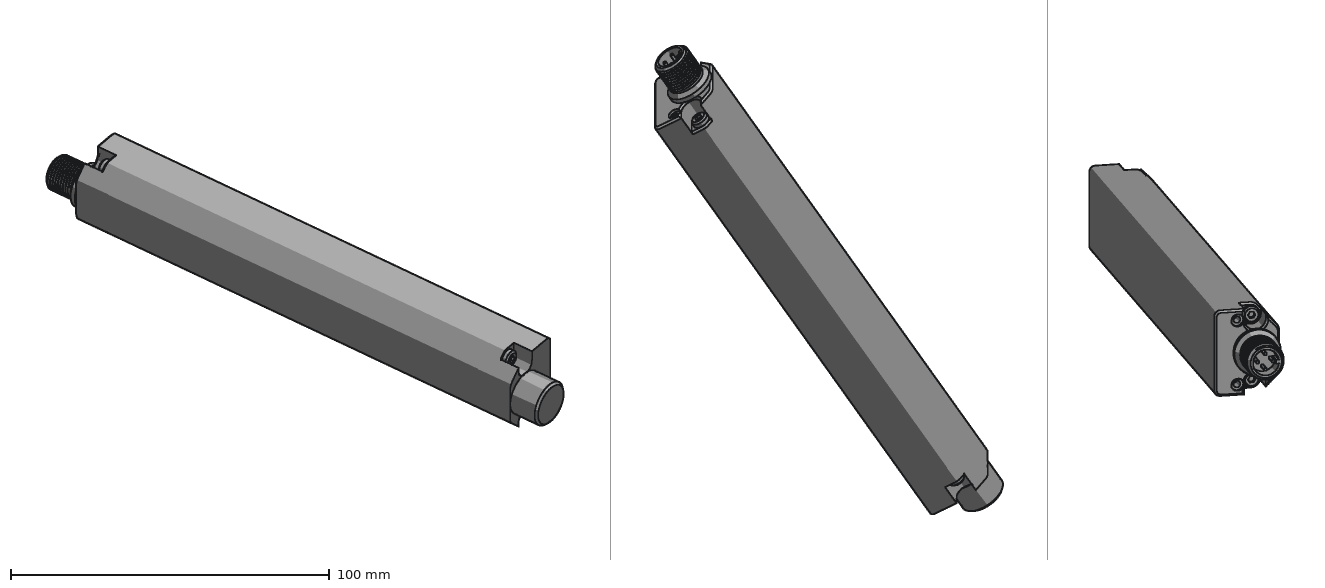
import cadquery as cq
import math


TOTAL_LENGTH = 194.0
BODY_START = 13.0
CAP_LENGTH = 13.0
BODY_LENGTH = 170.7
BODY_END = BODY_START + BODY_LENGTH

BODY_DEPTH = 21.0
BODY_HEIGHT = 28.0
CONNECTOR_RADIUS = 7.5
FRONT_Y = -CONNECTOR_RADIUS
BACK_Y = FRONT_Y + BODY_DEPTH
HALF_HEIGHT = BODY_HEIGHT / 2
CORNER_CUT = 6.5
FRONT_FILLET = 3.2
BACK_FILLET = 2.0
END_CHAMFER = 0.7
CHAMFER_ANGLE = 45.0

THREAD_RADIUS = 6.0
THREAD_PITCH = 1.0
THREAD_DEPTH = 0.6
GROOVE_OVERREACH = 0.2
GROOVE_WIDTH = 0.98 * THREAD_PITCH
THREAD_END = 9.7
TIP_CHAMFER = 1.0
COLLAR_CONE_LENGTH = 1.2
COLLAR_CONE_END = 11.4
SOCKET_RADIUS = 4.2
SOCKET_DEPTH = 5.0
PIN_RADIUS = 0.5
PIN_CIRCLE_RADIUS = 2.5
PIN_LENGTH = 4.0
PIN_COUNT = 4
KEY_WIDTH = 1.2
KEY_HEIGHT = 1.0

NUT_CHAMFER = 0.8

SCREW_Y = FRONT_Y + 7.85
SCREW_Z = 10.5
POCKET_RADIUS = 3.5
POCKET_LENGTH = 7.1
POCKET_RIM = 7.0
HEAD_RADIUS = 2.75
HEAD_LENGTH = 2.0
HEAD_CHAMFER = 0.6
HEX_ACROSS_FLATS = 2.0
HEX_DEPTH = 1.2

HOLE_Y = FRONT_Y + 13.6
HOLE_RADIUS = 2.0
HOLE_DEPTH = 1.0
HOLE_DRILL_RADIUS = 1.1
HOLE_DRILL_DEPTH = 6.0


def x_cylinder(radius, start, length, y=0.0, z=0.0):
    """Cylinder along +X from X = start."""
    return cq.Workplane("YZ", origin=(start, y, z)).circle(radius).extrude(length)


def body_segment(start, length):
    """Length of the housing section, with its corners rounded."""
    outline = [
        (FRONT_Y, -HALF_HEIGHT + CORNER_CUT),
        (FRONT_Y + CORNER_CUT, -HALF_HEIGHT),
        (BACK_Y, -HALF_HEIGHT),
        (BACK_Y, HALF_HEIGHT),
        (FRONT_Y + CORNER_CUT, HALF_HEIGHT),
        (FRONT_Y, HALF_HEIGHT - CORNER_CUT),
    ]
    segment = cq.Workplane("YZ", origin=(start, 0, 0)).polyline(outline).close().extrude(length)
    segment = segment.edges("|X").edges("not >Y").fillet(FRONT_FILLET)
    return segment.edges("|X").edges(">Y").fillet(BACK_FILLET)


def pocket_plane(x, inward, side):
    """Plane across a screw axis, facing into the body, with its local y axis pointing outward."""
    return cq.Plane(
        origin=(x, SCREW_Y, side * SCREW_Z),
        xDir=(0, inward * side, 0),
        normal=(inward, 0, 0),
    )


def pocket_outline(plane, radius):
    """U-shaped outline: a half circle around the screw, with straight sides running outward."""
    rim = POCKET_RIM
    return (
        cq.Workplane(plane)
        .moveTo(radius, rim)
        .lineTo(radius, 0)
        .threePointArc((0, -radius), (-radius, 0))
        .lineTo(-radius, rim)
        .close()
    )


def screw_pocket(mouth, inward, side, length=POCKET_LENGTH):
    """Round-bottomed pocket open to the end face and to the outside."""
    return pocket_outline(pocket_plane(mouth, inward, side), POCKET_RADIUS).extrude(length)


def chamfered_pocket(side):
    """Pocket of the threaded end: flared mouth, and a chamfered outer edge on its inner wall."""
    seat = BODY_START + POCKET_LENGTH
    pocket = screw_pocket(BODY_START, 1, side, POCKET_LENGTH + END_CHAMFER)
    inner_wall = body_segment(seat, CAP_LENGTH - POCKET_LENGTH).faces("<X").chamfer(END_CHAMFER)
    mouth = pocket_outline(pocket_plane(BODY_START, 1, side), POCKET_RADIUS + END_CHAMFER)
    flare = mouth.extrude(END_CHAMFER, taper=CHAMFER_ANGLE)
    return pocket.cut(inner_wall).union(flare)


def screw_head(mouth, inward, side):
    """Hex-socket screw head standing on the inner wall of a pocket."""
    seat = mouth + inward * POCKET_LENGTH
    plane = pocket_plane(seat, -inward, side)
    head = cq.Workplane(plane).circle(HEAD_RADIUS).extrude(HEAD_LENGTH)
    head = head.faces("<X" if inward > 0 else ">X").chamfer(HEAD_CHAMFER)
    hex_diameter = HEX_ACROSS_FLATS / math.cos(math.pi / 6)
    socket = (
        cq.Workplane(plane)
        .workplane(offset=HEAD_LENGTH - HEX_DEPTH)
        .polygon(6, hex_diameter)
        .extrude(HEX_DEPTH)
    )
    return head.cut(socket)


def stepped_hole(side):
    """Counterbored blind hole with a conical bottom."""
    cone_end = HOLE_DRILL_DEPTH + HOLE_DRILL_RADIUS
    profile = [
        (0, 0),
        (0, HOLE_RADIUS),
        (HOLE_DEPTH, HOLE_RADIUS),
        (HOLE_DEPTH, HOLE_DRILL_RADIUS),
        (HOLE_DRILL_DEPTH, HOLE_DRILL_RADIUS),
        (cone_end, 0),
    ]
    hole = cq.Workplane("XY").polyline(profile).close().revolve(360, (0, 0, 0), (1, 0, 0))
    return hole.translate((BODY_START, HOLE_Y, side * SCREW_Z))


def thread_groove():
    """Helical V groove along +X, starting one pitch ahead of the tip."""
    root = THREAD_RADIUS - THREAD_DEPTH
    rim = THREAD_RADIUS + GROOVE_OVERREACH
    half_width = GROOVE_WIDTH / 2
    helix = cq.Wire.makeHelix(THREAD_PITCH, THREAD_END + THREAD_PITCH, root)
    groove = (
        cq.Workplane("XZ")
        .polyline([(root, 0), (rim, half_width), (rim, -half_width)])
        .close()
        .sweep(cq.Workplane(obj=helix), isFrenet=True)
    )
    return groove.rotate((0, 0, 0), (0, 1, 0), 90).translate((-THREAD_PITCH, 0, 0))


def threaded_connector():
    """Male connector: threaded barrel, conical collar and a socket with pins and a key."""
    cone_start = COLLAR_CONE_END - COLLAR_CONE_LENGTH
    profile = [
        (0, 0),
        (0, THREAD_RADIUS - TIP_CHAMFER),
        (TIP_CHAMFER, THREAD_RADIUS),
        (cone_start, THREAD_RADIUS),
        (COLLAR_CONE_END, CONNECTOR_RADIUS),
        (BODY_START, CONNECTOR_RADIUS),
        (BODY_START, 0),
    ]
    envelope = cq.Workplane("XY").polyline(profile).close().revolve(360, (0, 0, 0), (1, 0, 0))
    blank = x_cylinder(THREAD_RADIUS, 0, cone_start)
    collar = x_cylinder(CONNECTOR_RADIUS, cone_start, BODY_START - cone_start)
    barrel = blank.cut(thread_groove()).union(collar).intersect(envelope)
    barrel = barrel.cut(x_cylinder(SOCKET_RADIUS, 0, SOCKET_DEPTH))
    for index in range(PIN_COUNT):
        angle = 2 * math.pi * index / PIN_COUNT
        pin = x_cylinder(
            PIN_RADIUS,
            SOCKET_DEPTH - PIN_LENGTH,
            PIN_LENGTH,
            PIN_CIRCLE_RADIUS * math.cos(angle),
            PIN_CIRCLE_RADIUS * math.sin(angle),
        )
        barrel = barrel.union(pin)
    key = cq.Workplane("XY").box(SOCKET_DEPTH, KEY_HEIGHT, KEY_WIDTH).translate(
        (SOCKET_DEPTH / 2, -SOCKET_RADIUS + KEY_HEIGHT / 2, 0)
    )
    return barrel.union(key)


def plain_connector():
    """Round coupling nut at the far end."""
    nut = x_cylinder(CONNECTOR_RADIUS, BODY_END, TOTAL_LENGTH - BODY_END)
    return nut.faces(">X").chamfer(NUT_CHAMFER)


def end_caps():
    """Both end caps with their pockets, screws and holes."""
    near = body_segment(BODY_START, CAP_LENGTH).faces("<X").chamfer(END_CHAMFER)
    far = body_segment(BODY_END - CAP_LENGTH, CAP_LENGTH)
    for side in (-1, 1):
        near = near.cut(chamfered_pocket(side)).cut(stepped_hole(side))
        near = near.union(screw_head(BODY_START, 1, side))
        far = far.cut(screw_pocket(BODY_END, -1, side))
        far = far.union(screw_head(BODY_END, -1, side))
    return near, far


near_cap, far_cap = end_caps()
near_cap = near_cap.union(threaded_connector())
far_cap = far_cap.union(plain_connector())
housing = body_segment(BODY_START + CAP_LENGTH, BODY_LENGTH - 2 * CAP_LENGTH)
result = near_cap.union(housing, clean=False).union(far_cap, clean=False)